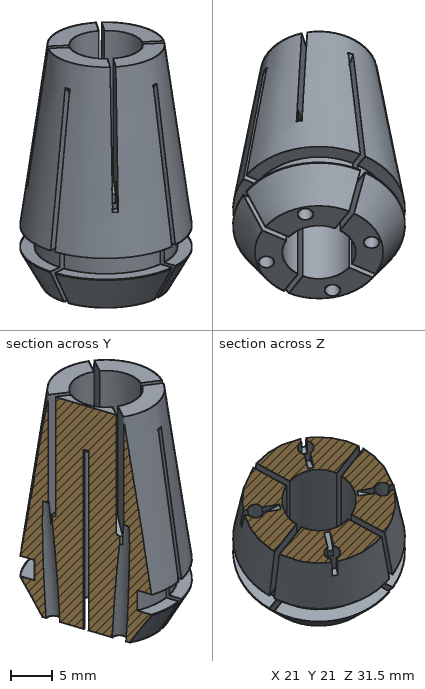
import cadquery as cq
import math

height = 31.5
max_radius = 10.5
top_radius = 7.15
nose_radius = 7.8
groove_radius = 8.73
bore_radius = 4.47
groove_bottom = 4.88
rim_land = 0.13
groove_top = 7.65

nose_slot_width = 0.7
nose_slot_outer_end = 28.25
nose_slot_inner_end = 24.9
end_radius = 7.65
top_slot_width = 0.7
top_slot_floor = 13.4
top_slot_inner_floor = 16.0
floor_slope_end = 14.55

hole_diameter = 1.9
hole_inner_radius = 6.77
hole_nose_radius = 6.6
hole_top = 16.22

clearance = 1.58
slot_count = 4
slot_pitch = 360.0 / slot_count


def make_body():
    """Taper, collar groove and nose cone revolved around the bore."""
    profile = [
        (bore_radius, 0),
        (nose_radius, 0),
        (max_radius, groove_bottom - rim_land),
        (max_radius, groove_bottom),
        (groove_radius, groove_bottom),
        (groove_radius, groove_top),
        (max_radius, groove_top),
        (top_radius, height),
        (bore_radius, height),
    ]
    return cq.Workplane("XZ").polyline(profile).close().revolve(360, (0, 0), (0, 1))


def radial_slot(outline, width):
    """Flat cutter in the XZ plane, centred on the X axis."""
    return cq.Workplane("XZ").polyline(outline).close().extrude(width / 2, both=True)


def make_nose_slot():
    """Slot from the nose whose end slopes down towards the bore."""
    outer = max_radius + clearance
    return radial_slot(
        [
            (0, -clearance),
            (outer, -clearance),
            (outer, nose_slot_outer_end),
            (end_radius, nose_slot_outer_end),
            (bore_radius, nose_slot_inner_end),
            (0, nose_slot_inner_end),
        ],
        nose_slot_width,
    )


def make_top_slot():
    """Slot from the small end with a floor that rises towards the bore."""
    outer = max_radius + clearance
    return radial_slot(
        [
            (0, height + clearance),
            (outer, height + clearance),
            (outer, top_slot_floor),
            (hole_inner_radius, top_slot_floor),
            (hole_inner_radius, floor_slope_end),
            (bore_radius, top_slot_inner_floor),
            (0, top_slot_inner_floor),
        ],
        top_slot_width,
    )


def make_leaning_hole():
    """Round hole from the nose face, leaning outwards as it rises into the top slot."""
    floor_radius = hole_inner_radius + hole_diameter / 2
    lean = math.atan2(floor_radius - hole_nose_radius, top_slot_floor)
    direction = cq.Vector(math.sin(lean), 0, math.cos(lean))
    start = cq.Vector(hole_nose_radius, 0, 0) - direction * clearance
    length = hole_top / math.cos(lean) + clearance
    return cq.Workplane(cq.Solid.makeCylinder(hole_diameter / 2, length, start, direction))


result = make_body()
nose_slot = make_nose_slot()
top_slot = make_top_slot()
leaning_hole = make_leaning_hole()
axis_start = (0, 0, 0)
axis_end = (0, 0, 1)

for index in range(slot_count):
    nose_angle = index * slot_pitch
    top_angle = nose_angle + slot_pitch / 2
    result = result.cut(nose_slot.rotate(axis_start, axis_end, nose_angle))
    result = result.cut(top_slot.rotate(axis_start, axis_end, top_angle))
    result = result.cut(leaning_hole.rotate(axis_start, axis_end, top_angle))